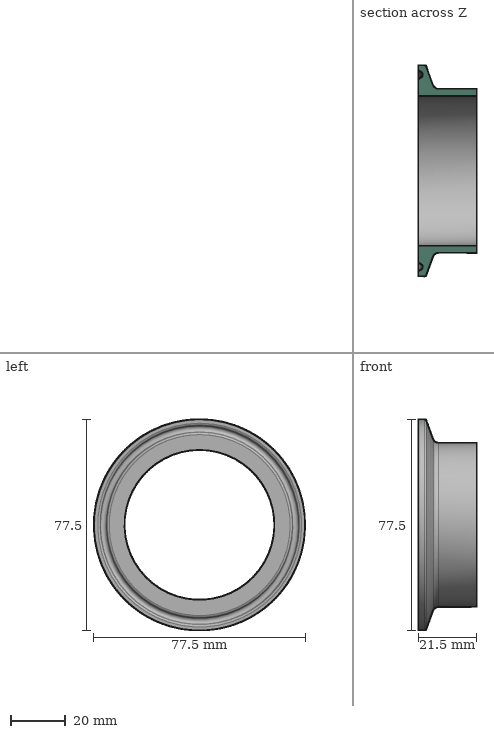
import cadquery as cq
import math

LENGTH = 21.5
FLANGE_RADIUS = 77.5 / 2
TUBE_RADIUS = 60.3 / 2
BORE_RADIUS = 54.8 / 2

RIM_THICKNESS = 2.85
CONE_ANGLE = math.radians(20)
FACE_EDGE_FILLET = 0.2
BACK_EDGE_FILLET = 0.75
NECK_FILLET = 2.0

GROOVE_RADIUS = 35.25
GROOVE_DEPTH = 1.6
GROOVE_WALL_ANGLE = math.radians(68)
GROOVE_BOTTOM_ARC = 1.2
GROOVE_LIP_ARC = 0.95


def ferrule_body():
    """Flange and tube as one revolved outline, with its edges rounded."""
    cone_end = RIM_THICKNESS + (FLANGE_RADIUS - TUBE_RADIUS) * math.tan(CONE_ANGLE)
    body = (
        cq.Workplane("XZ")
        .moveTo(0, BORE_RADIUS)
        .lineTo(0, FLANGE_RADIUS)
        .lineTo(RIM_THICKNESS, FLANGE_RADIUS)
        .lineTo(cone_end, TUBE_RADIUS)
        .lineTo(LENGTH, TUBE_RADIUS)
        .lineTo(LENGTH, BORE_RADIUS)
        .close()
        .revolve(360, (0, 0, 0), (1, 0, 0))
    )
    body = round_edge(body, 0, FLANGE_RADIUS, FACE_EDGE_FILLET)
    body = round_edge(body, RIM_THICKNESS, FLANGE_RADIUS, BACK_EDGE_FILLET)
    return round_edge(body, cone_end, TUBE_RADIUS, NECK_FILLET)


def round_edge(body, x, radius, fillet):
    """Fillet the circular edge of the given radius that lies in the plane at x."""
    margin = 0.05
    reach = radius + margin
    around_edge = cq.selectors.BoxSelector(
        (x - margin, -reach, -reach), (x + margin, reach, reach), boundingbox=True
    )
    edges = [e for e in body.edges(around_edge).vals() if e.geomType() == "CIRCLE"]
    outer_edges = [e for e in edges if abs(e.radius() - radius) < margin]
    return body.newObject(outer_edges).fillet(fillet)


def gasket_groove():
    """Ring-shaped cutter: a bottom arc, two short sloped walls and two convex lip arcs."""
    sine = math.sin(GROOVE_WALL_ANGLE)
    drop = 1 - math.cos(GROOVE_WALL_ANGLE)
    wall_depth = GROOVE_DEPTH - (GROOVE_BOTTOM_ARC + GROOVE_LIP_ARC) * drop
    wall_width = wall_depth / math.tan(GROOVE_WALL_ANGLE)
    half_width = (GROOVE_BOTTOM_ARC + GROOVE_LIP_ARC) * sine + wall_width

    def lip_point(side, angle):
        """Point on a lip arc, turned by the given angle from the face."""
        offset = half_width - GROOVE_LIP_ARC * math.sin(angle)
        return (GROOVE_LIP_ARC * (1 - math.cos(angle)), GROOVE_RADIUS + side * offset)

    def wall_foot(side):
        """Point where a sloped wall runs into the bottom arc."""
        return (GROOVE_DEPTH - GROOVE_BOTTOM_ARC * drop, GROOVE_RADIUS + side * GROOVE_BOTTOM_ARC * sine)

    mid_angle = GROOVE_WALL_ANGLE / 2
    return (
        cq.Workplane("XZ")
        .moveTo(*lip_point(-1, 0))
        .threePointArc(lip_point(-1, mid_angle), lip_point(-1, GROOVE_WALL_ANGLE))
        .lineTo(*wall_foot(-1))
        .threePointArc((GROOVE_DEPTH, GROOVE_RADIUS), wall_foot(1))
        .lineTo(*lip_point(1, GROOVE_WALL_ANGLE))
        .threePointArc(lip_point(1, mid_angle), lip_point(1, 0))
        .close()
        .revolve(360, (0, 0, 0), (1, 0, 0))
    )


result = ferrule_body().cut(gasket_groove())